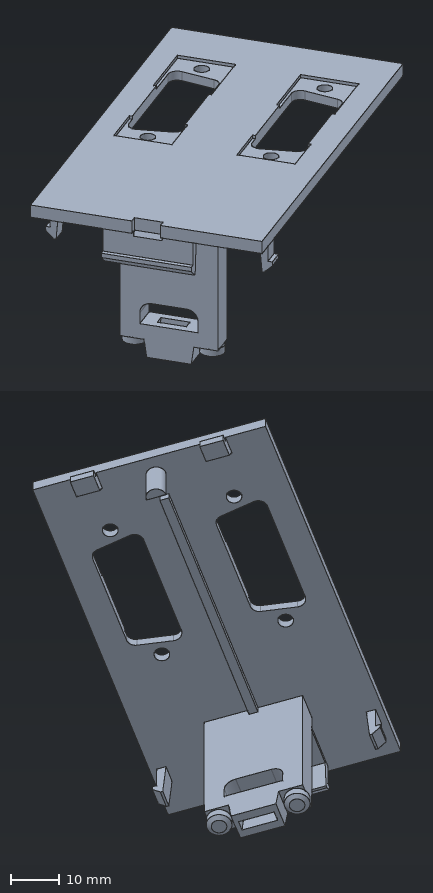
import cadquery as cq
import math


plate_width = 50.7
plate_length = 87.5
plate_thickness = 2.85
underside = -plate_thickness

notch_width = 6.2
notch_depth = 1.6
notch_ramp_end = -4.0

opening_spacing = 27.0
opening_y = 55.9
opening_width = 11.5
opening_mid_length = 27.1
opening_side_angle = 10.0
opening_corner_radius = 2.0
screw_hole_spacing = 33.4
screw_hole_diameter = 3.2
recess_width = 12.7
recess_depth = 0.7
recess_rear = 75.6
recess_front = 36.1
land_rear = 60.8
land_front = 45.8

hook_tip = -11.2
hook_catch = -8.5
hook_nose_height = 1.0
hook_tip_flat = 0.5
hook_root_thickness = 2.05
hook_end_thickness = 1.3
front_hook_width = 19.8
front_hook_overhang = 1.1
side_hook_width = 3.9
side_hook_y = 9.9
side_hook_overhang = 1.0
side_hook_edge_gap = 0.5

latch_spacing = 28.2
latch_width = 5.1
latch_lip = 1.5
latch_top = -4.1
latch_bottom = -5.9
latch_root_y = 83.3
latch_foot_y = 85.0
pin_flat_y = 82.9
pin_radius = 2.1
pin_bottom = -10.6

bracket_width = 21.45
bracket_front = 14.1
bracket_thickness = 6.0
bracket_bottom = -34.3
bracket_rear = bracket_front + bracket_thickness
bracket_mid_y = bracket_front + bracket_thickness / 2
tongue_bottom = -38.4
tongue_root_width = 10.95
tongue_end_width = 9.8
window_width = 12.7
window_top = -25.8
window_bottom = -30.8
window_corner_radius = 2.5
slot_top_length = 6.3
slot_bottom_length = 7.7
slot_width = 2.2

foot_spacing = 17.0
foot_radius = 2.7
foot_height = 1.8
foot_cone_height = 0.5
foot_end_radius = 1.6

front_pad_depth = 1.1
rib_width = 2.0
rib_depth = 1.5
rib_rear = 77.6


def box(width, y_range, z_range):
    """Block centred on X between two Y values and two Z values."""
    y_min, y_max = y_range
    z_min, z_max = z_range
    block = cq.Workplane("XY").box(width, y_max - y_min, z_max - z_min, centered=(True, False, False))
    return block.translate((0, y_min, z_min))


def side_extrusion(points, width):
    """Extrude a (Y, Z) outline along X, centred on X = 0."""
    return cq.Workplane("YZ").polyline(points).close().extrude(width / 2, both=True)


def mirrored_pair(shape, spacing):
    """Copies of a shape at half the spacing on each side of X = 0."""
    return shape.translate((-spacing / 2, 0, 0)).union(shape.translate((spacing / 2, 0, 0)))


def snap_hook(width, overhang):
    """Hanging hook whose nose points to -Y and touches Y = 0."""
    nose_bottom = hook_catch - hook_nose_height
    end_back = overhang + hook_end_thickness
    points = [
        (overhang, underside),
        (overhang, hook_catch),
        (0, hook_catch),
        (0, nose_bottom),
        (end_back - hook_tip_flat, hook_tip),
        (end_back, hook_tip),
        (overhang + hook_root_thickness, underside),
    ]
    return side_extrusion(points, width)


def side_hooks():
    """One hook near each long edge of the plate, nose facing outwards."""
    nose_x = plate_width / 2 - side_hook_edge_gap
    hook = snap_hook(side_hook_width, side_hook_overhang)
    left = hook.rotate((0, 0, 0), (0, 0, 1), -90).translate((-nose_x, side_hook_y, 0))
    return left.union(left.mirror("YZ"))


def pry_notch():
    """Straight cut through the plate edge with a ramp into the front hook."""
    points = [
        (0, 0),
        (notch_depth, 0),
        (notch_depth, underside),
        (front_hook_overhang, notch_ramp_end),
        (0, notch_ramp_end),
    ]
    return side_extrusion(points, notch_width)


def connector_opening():
    """D-shaped hole, two screw holes and a stepped recess, centred on X = 0."""
    half_width = opening_width / 2
    taper = half_width * math.tan(math.radians(opening_side_angle))
    long_half = opening_mid_length / 2 + taper
    short_half = opening_mid_length / 2 - taper
    outline = [
        (-half_width, -long_half),
        (half_width, -short_half),
        (half_width, short_half),
        (-half_width, long_half),
    ]
    base = cq.Workplane("XY", origin=(0, opening_y, underside))
    d_hole = base.polyline(outline).close().extrude(plate_thickness)
    d_hole = d_hole.edges("|Z").fillet(opening_corner_radius)
    screw_holes = base.rarray(0.9, screw_hole_spacing, 1, 2).circle(screw_hole_diameter / 2)
    cutter = d_hole.union(screw_holes.extrude(plate_thickness))
    for y_range in ((recess_front, land_front), (land_rear, recess_rear)):
        cutter = cutter.union(box(recess_width, y_range, (-recess_depth, 0)))
    return cutter


def rear_latch():
    """Block with a lip past the rear edge and a sloped inner face."""
    points = [
        (latch_root_y, underside),
        (plate_length, underside),
        (plate_length, latch_top),
        (plate_length + latch_lip, latch_top),
        (plate_length + latch_lip, latch_bottom),
        (latch_foot_y, latch_bottom),
    ]
    return side_extrusion(points, latch_width)


def locating_pin():
    """Half-round pin with its flat towards the front."""
    sketch = cq.Workplane("XY", origin=(0, pin_flat_y, pin_bottom)).moveTo(-pin_radius, 0)
    outline = sketch.threePointArc((0, pin_radius), (pin_radius, 0)).close()
    return outline.extrude(underside - pin_bottom)


def foot():
    """Round foot with a conical end, on the Z axis below the bracket."""
    cone_top = bracket_bottom - foot_height
    foot_end = cone_top - foot_cone_height
    half_section = [
        (0, bracket_bottom),
        (foot_radius, bracket_bottom),
        (foot_radius, cone_top),
        (foot_end_radius, foot_end),
        (0, foot_end),
    ]
    turned = cq.Workplane("XZ").polyline(half_section).close().revolve(360, (0, 0), (0, 1))
    return turned.translate((0, bracket_mid_y, 0))


def bracket():
    """Upright with a tapered tongue, a window, a slot in its sill and two feet."""
    outline = [
        (-bracket_width / 2, underside),
        (-bracket_width / 2, bracket_bottom),
        (-tongue_root_width / 2, bracket_bottom),
        (-tongue_end_width / 2, tongue_bottom),
        (tongue_end_width / 2, tongue_bottom),
        (tongue_root_width / 2, bracket_bottom),
        (bracket_width / 2, bracket_bottom),
        (bracket_width / 2, underside),
    ]
    rear_plane = cq.Workplane("XZ", origin=(0, bracket_rear, 0))
    upright = rear_plane.polyline(outline).close().extrude(bracket_thickness)
    window = box(window_width, (bracket_front, bracket_rear), (window_bottom, window_top))
    window = window.edges("|Y and >Z").fillet(window_corner_radius)
    slot_outline = [
        (-slot_top_length / 2, window_bottom),
        (-slot_bottom_length / 2, tongue_bottom),
        (slot_bottom_length / 2, tongue_bottom),
        (slot_top_length / 2, window_bottom),
    ]
    mid_plane = cq.Workplane("XZ", origin=(0, bracket_mid_y, 0))
    slot = mid_plane.polyline(slot_outline).close().extrude(slot_width / 2, both=True)
    return upright.cut(window).cut(slot).union(mirrored_pair(foot(), foot_spacing))


def stiffeners():
    """Pad from the front hook to the bracket and a rib from the bracket to the rear."""
    pad_y = (front_hook_overhang, bracket_front)
    pad = box(front_hook_width, pad_y, (underside - front_pad_depth, underside))
    rib = box(rib_width, (bracket_rear, rib_rear), (underside - rib_depth, underside))
    return pad.union(rib)


cover = box(plate_width, (0, plate_length), (underside, 0))
cover = cover.cut(mirrored_pair(connector_opening(), opening_spacing))
cover = cover.union(stiffeners())
cover = cover.union(snap_hook(front_hook_width, front_hook_overhang))
cover = cover.union(side_hooks())
cover = cover.union(mirrored_pair(rear_latch(), latch_spacing))
cover = cover.union(locating_pin())
cover = cover.union(bracket())
result = cover.cut(pry_notch())